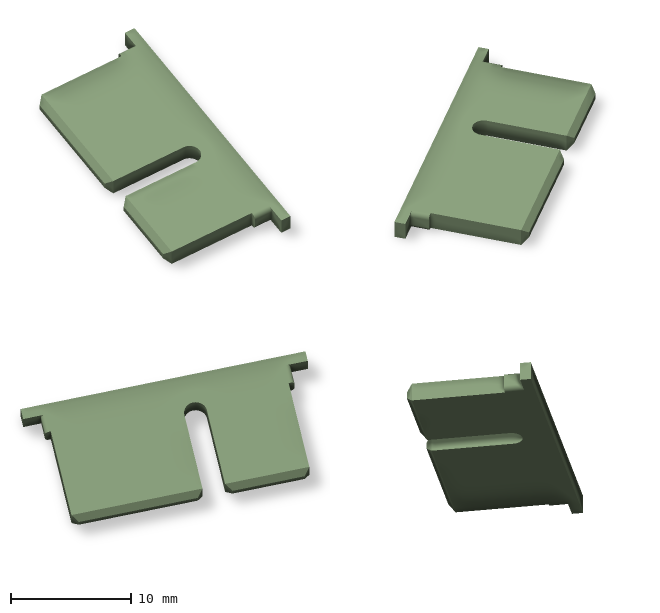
import cadquery as cq

thickness = 1.58
flange_width = 24.3
plate_length = 10.95

shoulder_inset = 2.0
body_width = flange_width - 2 * shoulder_inset
left_flange_depth = 0.95
right_flange_depth = 0.90
tip_chamfer = 0.52

pad_projection = 0.5
pad_end_depth = 2.55
pad_edge_radius = 0.38

slot_width = 1.93
slot_center_x = 2.0
slot_depth_from_rear = 2.55

body_left = -body_width / 2
body_right = body_width / 2
slot_left = slot_center_x - slot_width / 2
slot_right = slot_center_x + slot_width / 2


def box_between(x_min, x_max, y_min, y_max):
    """Full-thickness block between two X and two Y positions."""
    return (
        cq.Workplane("XY")
        .box(x_max - x_min, y_max - y_min, thickness)
        .translate(((x_min + x_max) / 2, (y_min + y_max) / 2, 0))
    )


def make_tongue(x_min, x_max):
    """Tongue with all four edges of its front face chamfered."""
    return box_between(x_min, x_max, -plate_length, 0).faces("<Y").edges().chamfer(tip_chamfer)


def make_slot_root():
    """Web joining the two tongues, ending in the slot's half-round."""
    arc_center_y = -slot_depth_from_rear - slot_width / 2
    web = box_between(slot_left, slot_right, arc_center_y, 0)
    round_end = (
        cq.Workplane("XY", origin=(slot_center_x, arc_center_y, -thickness / 2))
        .circle(slot_width / 2)
        .extrude(thickness)
    )
    return web.cut(round_end)


def make_ear(side, depth):
    """Flange ear on the left (side = -1) or right (side = 1)."""
    x_ends = sorted((side * body_width / 2, side * flange_width / 2))
    return box_between(x_ends[0], x_ends[1], -depth, 0)


def make_pad(side):
    """Side pad with its two long outer edges rounded."""
    x_ends = sorted((side * body_width / 2, side * (body_width / 2 + pad_projection)))
    pad = box_between(x_ends[0], x_ends[1], -pad_end_depth, 0)
    outer_face = ">X" if side > 0 else "<X"
    return pad.faces(outer_face).edges("|Y").fillet(pad_edge_radius)


result = make_tongue(body_left, slot_left)
result = result.union(make_tongue(slot_right, body_right))
result = result.union(make_slot_root())
for side, ear_depth in ((-1, left_flange_depth), (1, right_flange_depth)):
    result = result.union(make_pad(side))
    result = result.union(make_ear(side, ear_depth))